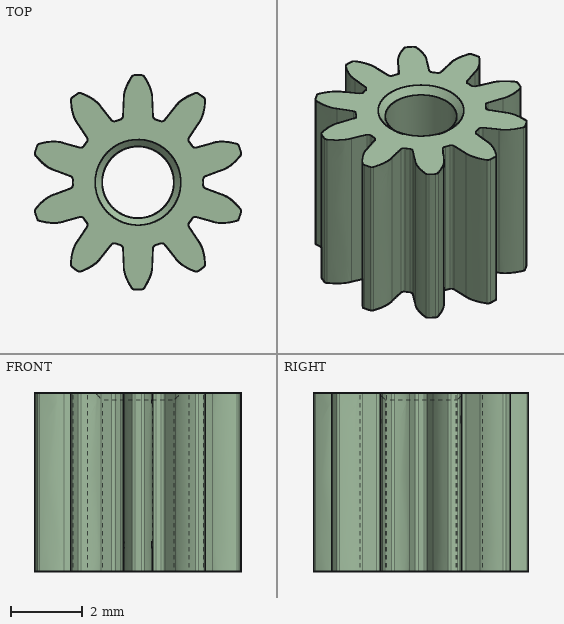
import cadquery as cq
import math

TOOTH_COUNT = 10
TIP_DIAMETER = 6.0
PRESSURE_ANGLE = math.radians(20)
FACE_WIDTH = 5.0
ROOT_RADIUS = 1.825
ROOT_HALF_THICKNESS = 0.425
TIP_FILLET = 0.1
ROOT_FILLET = 0.1
BORE_DIAMETER = 2.0
BORE_CHAMFER = 0.2
FLANK_POINTS = 7

module = TIP_DIAMETER / (TOOTH_COUNT + 2)
pitch_radius = module * TOOTH_COUNT / 2
tip_radius = TIP_DIAMETER / 2
base_radius = pitch_radius * math.cos(PRESSURE_ANGLE)
tooth_pitch = 2 * math.pi / TOOTH_COUNT


def involute(angle):
    return math.tan(angle) - angle


def half_tooth_angle(radius):
    """Angle from the tooth centre line to its involute flank at a radius."""
    return tooth_pitch / 4 + involute(PRESSURE_ANGLE) - involute(math.acos(base_radius / radius))


def polar(radius, angle):
    """Point at a radius, with the angle measured anticlockwise from +Y."""
    return (-radius * math.sin(angle), radius * math.cos(angle))


def flank_points(centre_angle, side):
    """Points on one flank from base to tip; side is -1 for clockwise, +1 for anticlockwise."""
    points = []
    for i in range(FLANK_POINTS):
        fraction = i / (FLANK_POINTS - 1)
        radius = base_radius + (tip_radius - base_radius) * fraction**2
        points.append(polar(radius, centre_angle + side * half_tooth_angle(radius)))
    return points


def gear_profile():
    """Closed outline: straight lower flanks, involute upper flanks, tip and root arcs."""
    root_angle = math.asin(ROOT_HALF_THICKNESS / ROOT_RADIUS)
    profile = cq.Workplane("XY").moveTo(*polar(ROOT_RADIUS, -root_angle))
    for tooth in range(TOOTH_COUNT):
        centre = tooth * tooth_pitch
        rising = flank_points(centre, -1)
        falling = flank_points(centre, 1)[::-1]
        profile = (
            profile.lineTo(*rising[0])
            .spline(rising[1:], includeCurrent=True)
            .threePointArc(polar(tip_radius, centre), falling[0])
            .spline(falling[1:], includeCurrent=True)
            .lineTo(*polar(ROOT_RADIUS, centre + root_angle))
            .threePointArc(
                polar(ROOT_RADIUS, centre + tooth_pitch / 2),
                polar(ROOT_RADIUS, centre + tooth_pitch - root_angle),
            )
        )
    return profile.close()


def round_edges_at(body, radius, fillet):
    """Fillet the lengthwise edges that lie at a given distance from the axis."""
    tolerance = 0.0005

    def lies_at_radius(edge):
        centre = edge.Center()
        return abs(math.hypot(centre.x, centre.y) - radius) < tolerance

    return body.edges("|Z").filter(lies_at_radius).fillet(fillet)


def cut_bore(body):
    """Through bore, chamfered at the top face."""
    bored = body.faces(">Z").workplane(origin=(0, 0, 0)).hole(BORE_DIAMETER)
    smallest_circle = cq.selectors.RadiusNthSelector(0)
    return bored.faces(">Z").edges("%CIRCLE").edges(smallest_circle).chamfer(BORE_CHAMFER)


gear = gear_profile().extrude(FACE_WIDTH)
gear = cut_bore(gear)
gear = round_edges_at(gear, tip_radius, TIP_FILLET)
result = round_edges_at(gear, ROOT_RADIUS, ROOT_FILLET)